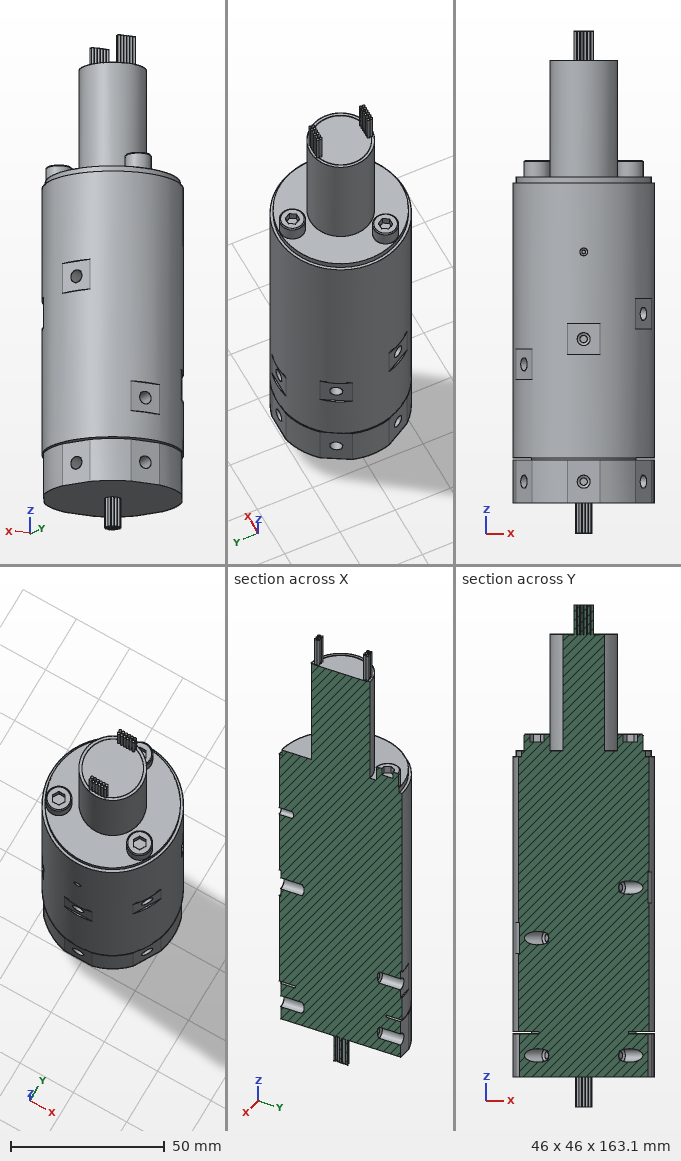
import cadquery as cq
import math

body_radius = 23.0
end_block_height = 14.1
gap_height = 0.6
gap_core_radius = 17.0
body_top = 104.0

cover_radius = 22.0
cover_height = 2.0
tube_radius = 11.0
tube_height = 37.8
tube_bore_radius = 10.0
tube_recess_depth = 0.2

screw_count = 3
screw_first_angle = 90.0
screw_circle_radius = 17.5
screw_head_radius = 4.25
screw_head_height = 5.3
screw_head_chamfer = 0.4
socket_across_flats = 4.0
socket_depth = 2.5

port_count = 6
port_first_angle = 90.0
port_angle_step = 360.0 / port_count
flat_distance = 22.4
flat_height = 10.0
first_flat_z = 28.7
flat_z_step = 8.2
end_port_z = 7.0
port_diameter = 4.2
port_bottom_diameter = 2.4
port_depth = 8.0

pin_hole_z = 81.6
pin_hole_diameter = 2.5
pin_hole_bottom_diameter = 1.2
pin_hole_depth = 5.0
pin_hole_angle = -90.0
drill_point_half_angle = 59.0

wire_pitch = 1.1
wire_radius = 0.45
ribbon_columns = 6
ribbon_rows = 2
ribbon_row_pitch = 1.0
ribbon_centre_y = 9.15
ribbon_length = 9.5
bundle_rings = 2
inner_ring_wires = 6
bundle_length = 9.8
wire_embed = 1.0

body_bottom = end_block_height + gap_height
cover_top = body_top + cover_height
tube_top = cover_top + tube_height


def cylinder(radius, bottom, height):
    """Upright cylinder on the axis."""
    return cq.Workplane("XY", origin=(0, 0, bottom)).circle(radius).extrude(height)


def polar(radius, angle):
    """Point at a radius and an angle in degrees."""
    return (radius * math.cos(math.radians(angle)), radius * math.sin(math.radians(angle)))


def side_plane(angle, distance, z):
    """Plane facing outwards at a given angle around the axis."""
    x, y = polar(1, angle)
    return cq.Plane(origin=(distance * x, distance * y, z), xDir=(-y, x, 0), normal=(x, y, 0))


def flat_cutter(angle, bottom, height):
    """Block that leaves a flat at flat_distance from the axis."""
    cutter_width = 2 * body_radius
    cutter_thickness = 2 * (body_radius - flat_distance)
    plane = side_plane(angle, flat_distance, bottom + height / 2)
    return cq.Workplane(plane).rect(cutter_width, height).extrude(cutter_thickness)


def blind_hole(angle, distance, z, diameter, bottom_diameter, depth):
    """Radial hole with a conical end that finishes in a small flat; depth is that of the full diameter."""
    radius = diameter / 2
    bottom_radius = bottom_diameter / 2
    cone_length = (radius - bottom_radius) / math.tan(math.radians(drill_point_half_angle))
    profile = [
        (0, 0),
        (radius, 0),
        (radius, -depth),
        (bottom_radius, -depth - cone_length),
        (0, -depth - cone_length),
    ]
    plane = side_plane(angle, distance, z)
    half_section = cq.Plane(origin=plane.origin.toTuple(), xDir=plane.xDir, normal=plane.yDir * -1)
    return cq.Workplane(half_section).polyline(profile).close().revolve(360, (0, 0), (0, 1))


def make_housing():
    """End block, narrow gap, main body, cover and tube."""
    housing = cylinder(body_radius, 0, end_block_height)
    housing = housing.union(cylinder(gap_core_radius, 0, body_top))
    housing = housing.union(cylinder(body_radius, body_bottom, body_top - body_bottom))
    housing = housing.union(cylinder(cover_radius, body_top, cover_height))
    housing = housing.union(cylinder(tube_radius, cover_top, tube_height))
    return housing.cut(cylinder(tube_bore_radius, tube_top - tube_recess_depth, tube_recess_depth))


def cut_ports(housing):
    """Ports in the end block, and matching ports that climb round the body in a helix."""
    for index in range(port_count):
        angle = port_first_angle + index * port_angle_step
        port_z = first_flat_z + index * flat_z_step
        housing = housing.cut(flat_cutter(angle, 0, end_block_height))
        housing = housing.cut(flat_cutter(angle, port_z - flat_height / 2, flat_height))
        for z in (end_port_z, port_z):
            hole = blind_hole(angle, flat_distance, z, port_diameter, port_bottom_diameter, port_depth)
            housing = housing.cut(hole)
    return housing


def cut_pin_hole(housing):
    """Small blind hole above the front port."""
    hole = blind_hole(
        pin_hole_angle, body_radius, pin_hole_z, pin_hole_diameter, pin_hole_bottom_diameter, pin_hole_depth
    )
    return housing.cut(hole)


def add_screws(housing):
    """Hexagon socket screw heads standing on the cover."""
    socket_circle = socket_across_flats / math.cos(math.pi / 6)
    head = cylinder(screw_head_radius, cover_top, screw_head_height)
    head = head.faces(">Z").chamfer(screw_head_chamfer)
    head = head.faces(">Z").workplane().polygon(6, socket_circle).cutBlind(-socket_depth)
    for index in range(screw_count):
        x, y = polar(screw_circle_radius, screw_first_angle + index * 360.0 / screw_count)
        housing = housing.union(head.translate((x, y, 0)))
    return housing


def add_wires(housing, centres, bottom, length):
    """Parallel upright wires at the given centres."""
    wires = cq.Workplane("XY", origin=(0, 0, bottom)).pushPoints(centres).circle(wire_radius).extrude(length)
    return housing.union(wires)


def add_ribbons(housing):
    """Two flat groups of wires standing on the tube."""
    for side in (-1, 1):
        centres = []
        for column in range(ribbon_columns):
            for row in range(ribbon_rows):
                x = (column - (ribbon_columns - 1) / 2) * wire_pitch
                y = side * ribbon_centre_y + (row - (ribbon_rows - 1) / 2) * ribbon_row_pitch
                centres.append((x, y))
        housing = add_wires(housing, centres, tube_top - wire_embed, ribbon_length + wire_embed)
    return housing


def add_bundle(housing):
    """Round bundle under the end block: one wire inside concentric rings of wires."""
    centres = [(0, 0)]
    for ring in range(1, bundle_rings + 1):
        count = ring * inner_ring_wires
        for index in range(count):
            centres.append(polar(ring * wire_pitch, index * 360.0 / count))
    return add_wires(housing, centres, -bundle_length, bundle_length + wire_embed)


part = make_housing()
part = cut_ports(part)
part = cut_pin_hole(part)
part = add_screws(part)
part = add_ribbons(part)
part = add_bundle(part)
result = part